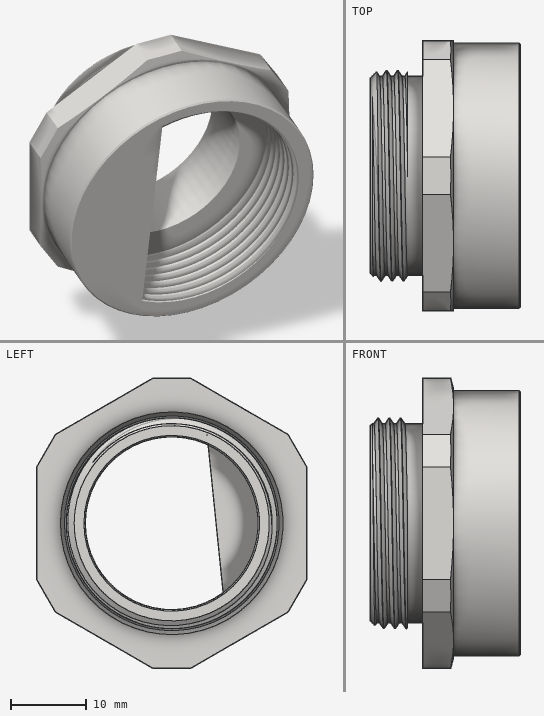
import cadquery as cq
import math


total_length = 20.0
male_thread_end = 5.0
flange_start = 7.0
flange_end = 11.1
socket_start = 9.4

thread_pitch = 1.5
thread_base_width = 1.12
thread_crest_width = 0.08
male_root_diameter = 26.56
male_crest_diameter = 28.1
spigot_tip_diameter = 26.0
female_minor_diameter = 30.57
female_major_diameter = 32.1
male_phase_angle = -74.0
female_phase_angle = 175.0
thread_bite = 0.1

bore_diameter = 23.0
bore_tip_chamfer = 0.2
body_diameter = 35.41
body_chamfer = 0.2
across_flats = 36.0
across_trimmed_corners = 38.68
flange_bevel_angle = 15.0

recess_diameter = 29.65
recess_floor_diameter = 28.6

web_thickness = 0.2
web_distance = 5.86
web_tilt = 5.8


def revolve_about_x(points):
    """Revolve an (x, radius) outline about the X axis."""
    return cq.Workplane("XY").polyline(points).close().revolve(360, (0, 0, 0), (1, 0, 0))


def cylinder(diameter, start, end):
    return cq.Workplane("YZ", origin=(start, 0, 0)).circle(diameter / 2).extrude(end - start)


def hexagon_prism(flats, vertex_angle):
    """Hexagonal prism over the flange length; vertex_angle is measured from Y about X."""
    prism = cq.Workplane("YZ", origin=(flange_start, 0, 0))
    prism = prism.polygon(6, flats / math.cos(math.radians(30))).extrude(flange_end - flange_start)
    return prism.rotate((0, 0, 0), (1, 0, 0), vertex_angle)


def helical_rib(base_diameter, crest_diameter, phase_angle, start, end):
    """Right-handed V rib wound about X, from its base diameter out to its crest."""
    base_radius = base_diameter / 2
    crest_radius = crest_diameter / 2
    half_base = thread_base_width / 2
    half_crest = thread_crest_width / 2
    flank_slope = (half_base - half_crest) / (crest_radius - base_radius)
    half_foot = half_base + thread_bite * flank_slope
    path = cq.Wire.makeHelix(thread_pitch, end - start, base_radius)
    profile = cq.Workplane("XZ").polyline([
        (base_radius - thread_bite, -half_foot),
        (crest_radius, -half_crest),
        (crest_radius, half_crest),
        (base_radius - thread_bite, half_foot),
    ]).close()
    rib = profile.sweep(cq.Workplane(path), isFrenet=True)
    return (
        rib.rotate((0, 0, 0), (0, 1, 0), 90)
        .rotate((0, 0, 0), (1, 0, 0), phase_angle)
        .translate((start, 0, 0))
    )


def make_flange():
    flange = hexagon_prism(across_flats, 30).intersect(hexagon_prism(across_trimmed_corners, 0))
    bevel_radius = across_flats / 2
    corner_radius = across_flats
    bevel_length = (corner_radius - bevel_radius) * math.tan(math.radians(flange_bevel_angle))
    envelope = revolve_about_x([
        (flange_end - bevel_length, 0),
        (flange_end - bevel_length, corner_radius),
        (flange_end, bevel_radius),
        (flange_end, 0),
    ])
    recess_depth = (recess_diameter - recess_floor_diameter) / 2
    recess = revolve_about_x([
        (flange_start, 0),
        (flange_start, recess_diameter / 2),
        (flange_start + recess_depth, recess_floor_diameter / 2),
        (flange_start + recess_depth, 0),
    ])
    return flange.intersect(envelope).cut(recess)


def make_spigot():
    core = cylinder(male_root_diameter, 0, flange_end)
    rib = helical_rib(male_root_diameter, male_crest_diameter, male_phase_angle,
                      -2 * thread_pitch, male_thread_end + thread_pitch)
    rib = rib.intersect(cylinder(across_flats, 0, male_thread_end))
    tip_radius = spigot_tip_diameter / 2
    full_radius = across_flats / 2
    envelope = revolve_about_x([
        (0, 0),
        (0, tip_radius),
        (full_radius - tip_radius, full_radius),
        (flange_end, full_radius),
        (flange_end, 0),
    ])
    return core.union(rib).intersect(envelope)


def make_body():
    body = cylinder(body_diameter, flange_end, total_length)
    return body.faces(">X").chamfer(body_chamfer)


def make_bore(end):
    bore_radius = bore_diameter / 2
    return revolve_about_x([
        (0, 0),
        (0, bore_radius + bore_tip_chamfer),
        (bore_tip_chamfer, bore_radius),
        (end, bore_radius),
        (end, 0),
    ])


def make_socket():
    rib = helical_rib(female_minor_diameter, female_major_diameter, female_phase_angle,
                      socket_start - thread_pitch, total_length + thread_pitch)
    rib = rib.intersect(cylinder(across_flats, socket_start, total_length))
    return cylinder(female_minor_diameter, socket_start, total_length).union(rib)


def make_web():
    sheet = cq.Workplane("XY", origin=(total_length, -web_distance, 0))
    sheet = sheet.box(2 * web_thickness, across_flats, across_flats * 2, centered=(True, False, True))
    sheet = sheet.translate((0, -across_flats, 0))
    return sheet.rotate((0, 0, 0), (1, 0, 0), -web_tilt)


result = make_flange().union(make_spigot()).union(make_body())
result = result.cut(make_bore(total_length - web_thickness)).cut(make_socket().cut(make_web()))